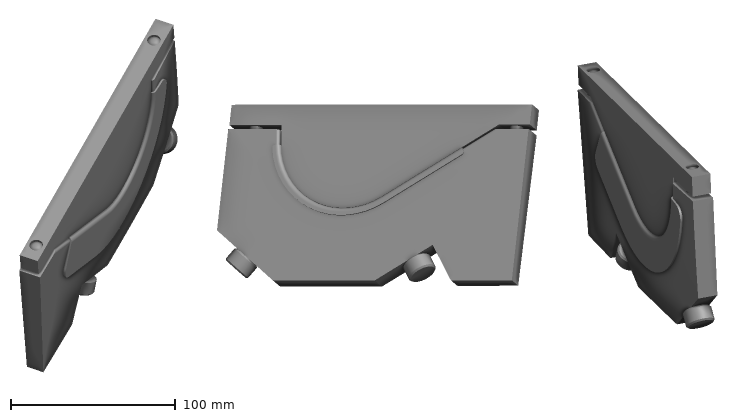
import cadquery as cq
import math


TILT = 6.5
BLOCK_LENGTH = 196.0
BLOCK_HEIGHT = 112.0
BLOCK_CORNER = (77.2, 29.5)

PARTING_RADIUS = 45.0
RAMP_ANGLE = 26.1
ARC_SWEEP = 90 + RAMP_ANGLE
REACH = 163.0

UPPER_WIDTH = 12.0
BAR_HEIGHT = 12.8
JAW_GAP = 3.0

LOWER_WIDTH = 14.3
LOWER_ROUNDING = 2.0
DRAFT = 2.0
BEVEL_SWEEP = 45.0
BEVEL_DEPTH = 96.5
NOTCH_DEPTH = 91.3
NOTCH_REACH = 14.9

LINER_THICKNESS = 1.0
RAMP_COVER = 58.3
SHORT_LEG_RADIUS = 50.1
SHORT_LEG_CORNER = 1.8
LONG_LEG_RADIUS = 70.5
LONG_LEG_SHIFT = 7.0
LONG_LEG_CORNER = 7.3

PIN_DIAMETER = 8.2
PIN_OFFSETS = (15.3, 185.3)
PIN_RECESS = 1.8
PIN_DOME = 1.2
PIN_EMBED = 12.8

BUTTON_DIAMETER = 18.0
BUTTON_HEIGHT = 10.0
BUTTON_CHAMFER = 1.0
BEVEL_BUTTON_SHIFT = 2.0

LINER_WIDTH = LOWER_WIDTH + 2 * LINER_THICKNESS
LOWER_TOP = BAR_HEIGHT + JAW_GAP


def block_point(along, down):
    """Y and Z of a point given along and down from the upper +Y corner of the block."""
    tilt = math.radians(TILT)
    y = BLOCK_CORNER[0] - along * math.cos(tilt) + down * math.sin(tilt)
    z = BLOCK_CORNER[1] - along * math.sin(tilt) - down * math.cos(tilt)
    return y, z


def polar_point(radius, sweep):
    """Y and Z of a point on the arc, swept from +Y down towards -Y."""
    angle = math.radians(sweep)
    return radius * math.cos(angle), -radius * math.sin(angle)


def ramp_point(depth, along):
    """Y and Z of a point at a depth below the origin and along the ramp."""
    ramp = math.radians(RAMP_ANGLE)
    y, z = polar_point(depth, ARC_SWEEP)
    return y - along * math.cos(ramp), z + along * math.sin(ramp)


def prism(outline, width):
    """Extrude a YZ outline to both sides of the middle plane."""
    return outline.extrude(width / 2, both=True)


def follow_parting_line(profile, leg_length, ramp_length):
    """Carry an X-depth face down the vertical leg, round the arc and along the ramp."""
    arc = profile.revolve(ARC_SWEEP, (0, 0, 0), (-1, 0, 0))
    ramp = profile.extrude(-ramp_length).rotate((0, 0, 0), (1, 0, 0), -ARC_SWEEP)
    path = arc.union(ramp)
    if leg_length > 0:
        path = path.union(profile.extrude(leg_length))
    return path


def rounded_profile(width, top, rounding, draft):
    """X-depth face with a rounded top edge and a tapered +X side."""
    half = width / 2
    shoulder = top + rounding
    diagonal = rounding * (1 - math.sqrt(0.5))
    far_side = half - (REACH - shoulder) * math.tan(math.radians(draft))
    outline = (
        cq.Workplane("XY")
        .moveTo(-half, REACH)
        .lineTo(-half, shoulder)
        .threePointArc((-half + diagonal, top + diagonal), (-half + rounding, top))
        .lineTo(half - rounding, top)
        .threePointArc((half - diagonal, top + diagonal), (half, shoulder))
        .lineTo(far_side, REACH)
        .close()
    )
    return cq.Workplane(obj=cq.Face.makeFromWires(outline.val()))


def pin_cylinder(offset, start, end):
    """Cylinder on a pin axis between two distances below the top face."""
    y, z = block_point(offset, start)
    down_y, down_z = block_point(offset, start + 2)
    axis = cq.Vector(0, down_y - y, down_z - z)
    cylinder = cq.Solid.makeCylinder(PIN_DIAMETER / 2, end - start, cq.Vector(0, y, z), axis)
    return cq.Workplane(obj=cylinder)


def lower_jaw_envelope():
    """Unlimited body of the lower jaw, bounded only by its sides and parting face."""
    profile = rounded_profile(LOWER_WIDTH, PARTING_RADIUS + LINER_THICKNESS, LOWER_ROUNDING, DRAFT)
    return follow_parting_line(profile, REACH, REACH)


def drill_for_pins(jaw, start, end):
    for offset in PIN_OFFSETS:
        jaw = jaw.cut(pin_cylinder(offset, start, end))
    return jaw


def make_upper_jaw():
    tilt = math.radians(TILT)
    ramp = math.radians(RAMP_ANGLE)
    corner_y, corner_z = block_point(0, BAR_HEIGHT)
    leg_top = corner_z - (corner_y - PARTING_RADIUS) * math.tan(tilt)
    foot_y, foot_z = ramp_point(PARTING_RADIUS, 0)
    rise = corner_z - (corner_y - foot_y) * math.tan(tilt) - foot_z
    ramp_length = rise / (math.sin(ramp) + math.cos(ramp) * math.tan(tilt))
    outline = (
        cq.Workplane("YZ")
        .moveTo(*block_point(0, 0))
        .lineTo(*block_point(0, BAR_HEIGHT))
        .lineTo(PARTING_RADIUS, leg_top)
        .lineTo(PARTING_RADIUS, 0)
        .threePointArc(polar_point(PARTING_RADIUS, ARC_SWEEP / 2), (foot_y, foot_z))
        .lineTo(*ramp_point(PARTING_RADIUS, ramp_length))
        .lineTo(*block_point(BLOCK_LENGTH, BAR_HEIGHT))
        .lineTo(*block_point(BLOCK_LENGTH, 0))
        .close()
    )
    return drill_for_pins(prism(outline, UPPER_WIDTH), 0, BAR_HEIGHT)


def make_lower_jaw(envelope):
    corners = [
        block_point(0, LOWER_TOP),
        block_point(0, BLOCK_HEIGHT),
        block_point(BLOCK_LENGTH, BLOCK_HEIGHT),
        block_point(BLOCK_LENGTH, LOWER_TOP),
    ]
    jaw = envelope.intersect(prism(cq.Workplane("YZ").polyline(corners).close(), LOWER_WIDTH))

    bevel = (
        cq.Workplane("XY")
        .box(LOWER_WIDTH, REACH, 2 * REACH)
        .translate((0, BEVEL_DEPTH + REACH / 2, 0))
        .rotate((0, 0, 0), (1, 0, 0), -BEVEL_SWEEP)
    )
    notch_corners = [
        ramp_point(NOTCH_DEPTH, NOTCH_REACH),
        ramp_point(REACH, NOTCH_REACH),
        ramp_point(REACH, -REACH),
        ramp_point(NOTCH_DEPTH, -REACH),
    ]
    notch = prism(cq.Workplane("YZ").polyline(notch_corners).close(), LOWER_WIDTH)
    jaw = jaw.cut(bevel).cut(notch)
    return drill_for_pins(jaw, LOWER_TOP, LOWER_TOP + PIN_EMBED)


def liner_leg_region(radius, shift, corner, side):
    """Region that one leg of the liner fills, on the -X (side -1) or +X (side 1) half."""
    bottom_depth = radius + shift * math.sin(math.radians(RAMP_ANGLE))
    middle = polar_point(radius, ARC_SWEEP / 2)
    foot = polar_point(radius, ARC_SWEEP)
    start = (radius - shift, 0)
    end = ramp_point(bottom_depth, RAMP_COVER)
    region = (
        cq.Workplane("YZ")
        .moveTo(0, 0)
        .lineTo(*start)
        .threePointArc((middle[0] - shift, middle[1]), (foot[0] - shift, foot[1]))
        .lineTo(*end)
        .lineTo(*ramp_point(0, RAMP_COVER))
        .close()
        .extrude(side * LINER_WIDTH / 2)
    )
    for y, z in (start, end):
        nearest = cq.selectors.NearestToPointSelector((side * LINER_WIDTH / 4, y, z))
        region = region.edges("|X").edges(nearest).fillet(corner)
    return region


def make_liner(envelope):
    rounding = LOWER_ROUNDING + LINER_THICKNESS
    profile = rounded_profile(LINER_WIDTH, PARTING_RADIUS, rounding, 0)
    shell = follow_parting_line(profile, 0, RAMP_COVER).cut(envelope)
    short_leg = liner_leg_region(SHORT_LEG_RADIUS, 0, SHORT_LEG_CORNER, -1)
    long_leg = liner_leg_region(LONG_LEG_RADIUS, LONG_LEG_SHIFT, LONG_LEG_CORNER, 1)
    return shell.intersect(short_leg.union(long_leg))


def make_pin(offset):
    """Cylinder with a domed upper end, upright in the jaws."""
    apex = PIN_RECESS - PIN_DOME
    radius = PIN_DIAMETER / 2
    dome_radius = (radius**2 + PIN_DOME**2) / (2 * PIN_DOME)
    tilt = math.radians(TILT)
    down = cq.Vector(0, math.sin(tilt), -math.cos(tilt))
    centre = cq.Vector(0, *block_point(offset, apex + dome_radius))
    cap = cq.Workplane(obj=cq.Solid.makeSphere(dome_radius, centre, down, -90, 90, 360))
    rim = pin_cylinder(offset, apex, PIN_RECESS).intersect(cap)
    return rim.union(pin_cylinder(offset, PIN_RECESS, LOWER_TOP + PIN_EMBED))


def make_button(sweep, depth, shift):
    """Chamfered disc on the lower jaw, square to the seat and shifted along it from the origin."""
    return (
        cq.Workplane("XZ", origin=(0, depth, shift))
        .circle(BUTTON_DIAMETER / 2)
        .extrude(-BUTTON_HEIGHT)
        .edges()
        .chamfer(BUTTON_CHAMFER)
        .rotate((0, 0, 0), (1, 0, 0), -sweep)
    )


envelope = lower_jaw_envelope()
upper_jaw = make_upper_jaw()
lower_jaw = make_lower_jaw(envelope)
liner = make_liner(envelope)
pins = [make_pin(offset) for offset in PIN_OFFSETS]
button_places = (
    (BEVEL_SWEEP, BEVEL_DEPTH, BEVEL_BUTTON_SHIFT),
    (ARC_SWEEP, NOTCH_DEPTH, 0),
)
buttons = [make_button(*place) for place in button_places]

result = cq.Compound.makeCompound(
    [
        upper_jaw.val(),
        lower_jaw.val(),
        liner.val(),
        *[pin.val() for pin in pins],
        *[button.val() for button in buttons],
    ]
)